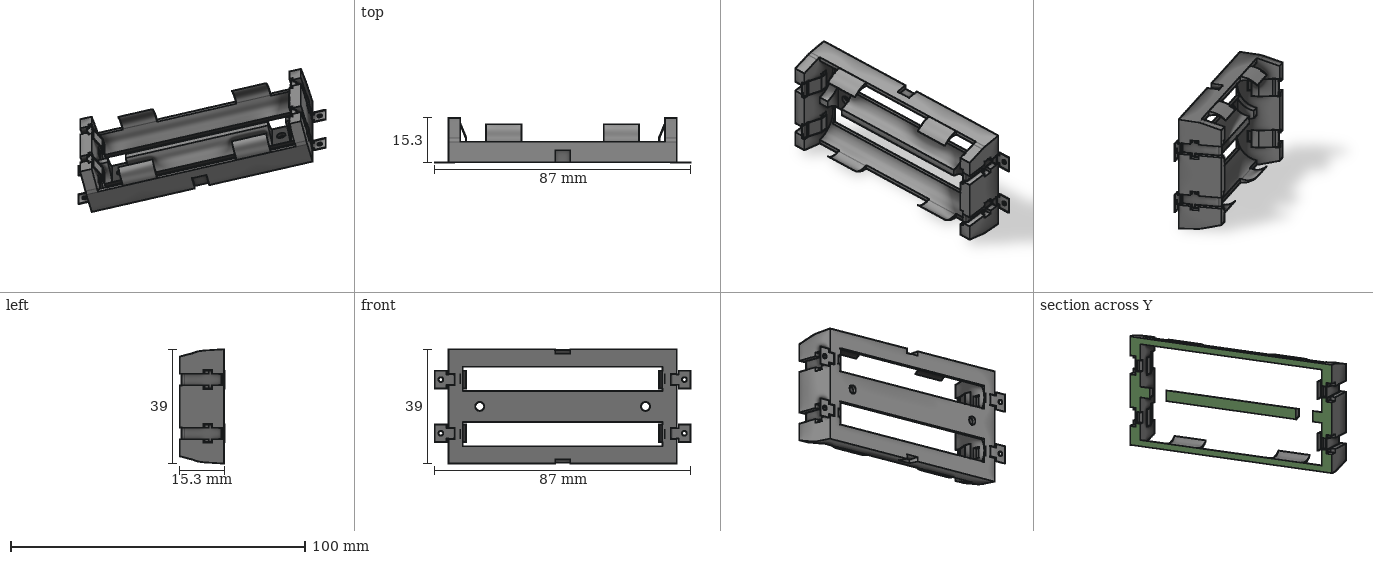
import cadquery as cq
import math


HOUSING_LENGTH = 77.8
HOUSING_DEPTH = 15.1
RAIL_DEPTH = 7.05
SHOULDER_Y = 8.35
HALF_HEIGHT = 19.5
RAIL_HALF_HEIGHT = 19.05
SHOULDER_HALF_HEIGHT = 18.8
CREST_HALF_HEIGHT = 17.0
HALF_LENGTH = HOUSING_LENGTH / 2

CELL_SPACING = 18.8
CELL_RADIUS = 8.2
CELL_AXIS_Y = 8.35
BAY_LENGTH = 69.6
CELL_Z = CELL_SPACING / 2
WALL_FACE_X = BAY_LENGTH / 2

WINDOW_LENGTH = 67.9
WINDOW_HEIGHT = 8.2

CLIP_LENGTH = 12.1
CLIP_CENTER_X = 20.0
CLIP_TIP_Y = 13.05
CLIP_OUTER_RADIUS = 8.2
CLIP_OUTER_CREST_Z = 19.0
CLIP_INNER_RADIUS = 5.4
CLIP_INNER_CREST_Z = 17.8
CLIP_INNER_AXIS_Y = 9.2

HOLE_X = 28.2
HOLE_DIAMETER = 3.0
GAP_LENGTH = 6.3
GAP_FLOOR_Y = 1.3

LATCH_LENGTH = 5.05
LATCH_DEPTH_Y = 4.1
LATCH_FLOOR_Z = 17.9

CONTACT_SPACING = 18.3
CONTACT_Z = CONTACT_SPACING / 2
SHEET = 0.3
STRIP_WIDTH = 3.9
NECK_WIDTH = 3.6
NECK_END_Y = 1.65
BEND_RADIUS = 0.35
TAB_WIDTH = 6.1
TAB_FACE_Y = -0.2
TAB_TOP_Y = TAB_FACE_Y + SHEET
TAB_START_X = 39.4
TAB_END_X = 43.5
TAB_HOLE_X = 41.4
TAB_HOLE_DIAMETER = 1.6
LEAF_WIDTH = TAB_WIDTH
LEAF_FACE_X = 32.7
LEAF_KNEE_Y = 8.35
LEAF_END_Y = 5.7
BARB_SPAN = 5.9
BARB_START_Y = 4.3
BARB_ROOT_Y = 5.2
BARB_END_Y = 6.5
BARB_RISE = 0.6

CHANNEL_FLOOR_X = 36.7
CHANNEL_WIDTH = STRIP_WIDTH
STRIP_FACE_X = CHANNEL_FLOOR_X + SHEET
BRIDGE_START_Y = 0.6
BRIDGE_END_Y = 1.05
EAR_WIDTH = 6.5
EAR_START_Y = 4.1
EAR_END_Y = 7.1
POCKET_START_Y = 3.65
POCKET_END_Y = 6.3
POCKET_DEPTH = 1.3
RECESS_DEPTH = 0.35
RECESS_START_Y = 12.7
RECESS_WIDTH = 6.3

SEAT_INNER_X = WALL_FACE_X + RECESS_DEPTH
SEAT_RADIUS = (CHANNEL_FLOOR_X - SEAT_INNER_X) / 2
FOLD_X = (CHANNEL_FLOOR_X + SEAT_INNER_X) / 2
FOLD_Y = 13.6


def box(x_range, y_range, z_range):
    """Axis-aligned block between pairs of limits given in either order."""
    (x0, x1), (y0, y1), (z0, z1) = (sorted(limits) for limits in (x_range, y_range, z_range))
    return cq.Workplane(cq.Solid.makeBox(x1 - x0, y1 - y0, z1 - z0, cq.Vector(x0, y0, z0)))


def span(center, width):
    """Limits of a width centred on a position."""
    return (center - width / 2, center + width / 2)


def cylinder_x(radius, y, z):
    """Cylinder along X through the full length of the bays."""
    start = cq.Vector(-BAY_LENGTH / 2, y, z)
    return cq.Workplane(cq.Solid.makeCylinder(radius, BAY_LENGTH, start, cq.Vector(1, 0, 0)))


def cylinder_y(diameter, x, y_start, y_end):
    """Cylinder along Y in the plane Z = 0."""
    start = cq.Vector(x, y_start, 0)
    return cq.Workplane(
        cq.Solid.makeCylinder(diameter / 2, y_end - y_start, start, cq.Vector(0, 1, 0))
    )


def housing_block():
    """Rails and end walls before the bays are hollowed out."""
    upper_side = [
        (0, HALF_HEIGHT),
        (RAIL_DEPTH, RAIL_HALF_HEIGHT),
        (SHOULDER_Y, SHOULDER_HALF_HEIGHT),
        (HOUSING_DEPTH, CREST_HALF_HEIGHT),
    ]
    lower_side = [(y, -z) for y, z in reversed(upper_side)]
    block = (
        cq.Workplane("YZ", origin=(-HALF_LENGTH, 0, 0))
        .polyline(upper_side + lower_side)
        .close()
        .extrude(HOUSING_LENGTH)
    )
    opening = box(
        (-WALL_FACE_X, WALL_FACE_X), (RAIL_DEPTH, HOUSING_DEPTH), (-HALF_HEIGHT, HALF_HEIGHT)
    )
    return block.cut(opening)


def clip(x_center, side):
    """Curved finger that rises from an outer rail and hooks over the cell."""
    outer_axis_z = CLIP_OUTER_CREST_Z - CLIP_OUTER_RADIUS
    inner_axis_z = CLIP_INNER_CREST_Z - CLIP_INNER_RADIUS
    outer = cylinder_x(CLIP_OUTER_RADIUS, RAIL_DEPTH, side * outer_axis_z)
    inner = cylinder_x(CLIP_INNER_RADIUS, CLIP_INNER_AXIS_Y, side * inner_axis_z)
    limits = box(
        span(x_center, CLIP_LENGTH), (RAIL_DEPTH, CLIP_TIP_Y), (side * CELL_Z, side * HALF_HEIGHT)
    )
    return outer.cut(inner).intersect(limits)


def bay(side):
    """Round trough for one cell and the window through its floor."""
    trough = cylinder_x(CELL_RADIUS, CELL_AXIS_Y, side * CELL_Z)
    window = box(span(0, WINDOW_LENGTH), (0, CELL_AXIS_Y), span(side * CELL_Z, WINDOW_HEIGHT))
    return trough.union(window)


def latch_pocket(side):
    return box(
        span(0, LATCH_LENGTH), (0, LATCH_DEPTH_Y), (side * LATCH_FLOOR_Z, side * HALF_HEIGHT)
    )


def mounting_hole(x):
    """Screw hole and the gap in the ridge that clears the screw head."""
    hole = cylinder_y(HOLE_DIAMETER, x, 0, HOUSING_DEPTH)
    gap = box(span(x, GAP_LENGTH), (GAP_FLOOR_Y, RAIL_DEPTH), (-CELL_Z, CELL_Z))
    return hole.union(gap)


def contact_channel(end, side):
    """Everything removed from an end wall to seat one contact."""
    z = side * CONTACT_Z
    floor_x = end * CHANNEL_FLOOR_X
    face_x = end * WALL_FACE_X
    outer_x = end * HALF_LENGTH
    channel_z = span(z, CHANNEL_WIDTH)
    recess_z = span(z, RECESS_WIDTH)

    channel = box((floor_x, outer_x), (0, HOUSING_DEPTH), channel_z)
    bridge = box((end * STRIP_FACE_X, outer_x), (BRIDGE_START_Y, BRIDGE_END_Y), channel_z)
    ears = box((floor_x, outer_x), (EAR_START_Y, EAR_END_Y), span(z, EAR_WIDTH))

    outer_notch = box((end * FOLD_X, outer_x), (FOLD_Y, HOUSING_DEPTH), channel_z)
    inner_notch = box((face_x, end * FOLD_X), (FOLD_Y, HOUSING_DEPTH), recess_z)
    seat = (
        cq.Workplane("XY", origin=(end * FOLD_X, FOLD_Y, z - RECESS_WIDTH / 2))
        .circle(SEAT_RADIUS)
        .extrude(RECESS_WIDTH)
    )
    notch = outer_notch.union(inner_notch).cut(seat)

    recess = box((face_x, end * SEAT_INNER_X), (RECESS_START_Y, HOUSING_DEPTH), recess_z)
    pocket_floor_x = end * (WALL_FACE_X + POCKET_DEPTH)
    pocket = box((face_x, pocket_floor_x), (POCKET_START_Y, POCKET_END_Y), channel_z)

    return channel.cut(bridge).union(ears).union(notch).union(recess).union(pocket)


def make_housing():
    body = housing_block()
    for side in (-1, 1):
        for x in (-CLIP_CENTER_X, CLIP_CENTER_X):
            body = body.union(clip(x, side))
    for side in (-1, 1):
        body = body.cut(bay(side)).cut(latch_pocket(side))
    for end in (-1, 1):
        body = body.cut(mounting_hole(end * HOLE_X))
        for side in (-1, 1):
            body = body.cut(contact_channel(end, side))
    return body.solids()


def contact_profile():
    """Bent sheet in the XY plane, extruded to its greatest width about Z = 0."""
    bend_x = CHANNEL_FLOOR_X + BEND_RADIUS
    bend_y = TAB_FACE_Y + BEND_RADIUS
    outer_offset = BEND_RADIUS * math.sqrt(0.5)
    inner_offset = (BEND_RADIUS - SHEET) * math.sqrt(0.5)
    leaf_back_x = LEAF_FACE_X + SHEET
    fold_crest_y = FOLD_Y + SEAT_RADIUS
    return (
        cq.Workplane("XY", origin=(0, 0, -TAB_WIDTH / 2))
        .moveTo(TAB_END_X, TAB_FACE_Y)
        .lineTo(bend_x, TAB_FACE_Y)
        .threePointArc((bend_x - outer_offset, bend_y - outer_offset), (CHANNEL_FLOOR_X, bend_y))
        .lineTo(CHANNEL_FLOOR_X, FOLD_Y)
        .threePointArc((FOLD_X, fold_crest_y), (SEAT_INNER_X, FOLD_Y))
        .lineTo(leaf_back_x, LEAF_KNEE_Y)
        .lineTo(leaf_back_x, LEAF_END_Y)
        .lineTo(LEAF_FACE_X, LEAF_END_Y)
        .lineTo(LEAF_FACE_X, LEAF_KNEE_Y)
        .lineTo(SEAT_INNER_X - SHEET, FOLD_Y)
        .threePointArc((FOLD_X, fold_crest_y + SHEET), (STRIP_FACE_X, FOLD_Y))
        .lineTo(STRIP_FACE_X, bend_y)
        .threePointArc((bend_x - inner_offset, bend_y - inner_offset), (bend_x, TAB_TOP_Y))
        .lineTo(TAB_END_X, TAB_TOP_Y)
        .close()
        .extrude(TAB_WIDTH)
    )


def contact_widths():
    """Blocks that limit the bent sheet to its width in each stretch."""
    tab = box((TAB_START_X, TAB_END_X), (TAB_FACE_Y, TAB_TOP_Y), span(0, TAB_WIDTH))
    neck = box((CHANNEL_FLOOR_X, TAB_START_X), (TAB_FACE_Y, NECK_END_Y), span(0, NECK_WIDTH))
    strip = box((FOLD_X, TAB_START_X), (NECK_END_Y, HOUSING_DEPTH), span(0, STRIP_WIDTH))
    leaf = box((LEAF_FACE_X, FOLD_X), (LEAF_END_Y, HOUSING_DEPTH), span(0, LEAF_WIDTH))
    return tab.union(neck).union(strip).union(leaf)


def contact_barbs():
    """Pair of wings beside the strip, bent outward past their roots."""
    wings = (
        cq.Workplane("XY", origin=(0, 0, -BARB_SPAN / 2))
        .moveTo(CHANNEL_FLOOR_X, BARB_START_Y)
        .lineTo(CHANNEL_FLOOR_X, BARB_ROOT_Y)
        .lineTo(CHANNEL_FLOOR_X + BARB_RISE, BARB_END_Y)
        .lineTo(STRIP_FACE_X + BARB_RISE, BARB_END_Y)
        .lineTo(STRIP_FACE_X, BARB_ROOT_Y)
        .lineTo(STRIP_FACE_X, BARB_START_Y)
        .close()
        .extrude(BARB_SPAN)
    )
    between = box((CHANNEL_FLOOR_X, HALF_LENGTH), (BARB_ROOT_Y, BARB_END_Y), span(0, STRIP_WIDTH))
    return wings.cut(between)


def make_contact(end, side):
    """One contact: solder tab, neck, strip with barbs, fold and spring leaf."""
    contact = contact_profile().intersect(contact_widths()).union(contact_barbs())
    contact = contact.cut(cylinder_y(TAB_HOLE_DIAMETER, TAB_HOLE_X, TAB_FACE_Y, TAB_TOP_Y))
    if end < 0:
        contact = contact.mirror("YZ")
    return contact.translate((0, 0, side * CONTACT_Z)).solids()


housing = make_housing()
contacts = [make_contact(end, side) for end in (-1, 1) for side in (-1, 1)]

result = cq.Compound.makeCompound([housing.val()] + [contact.val() for contact in contacts])